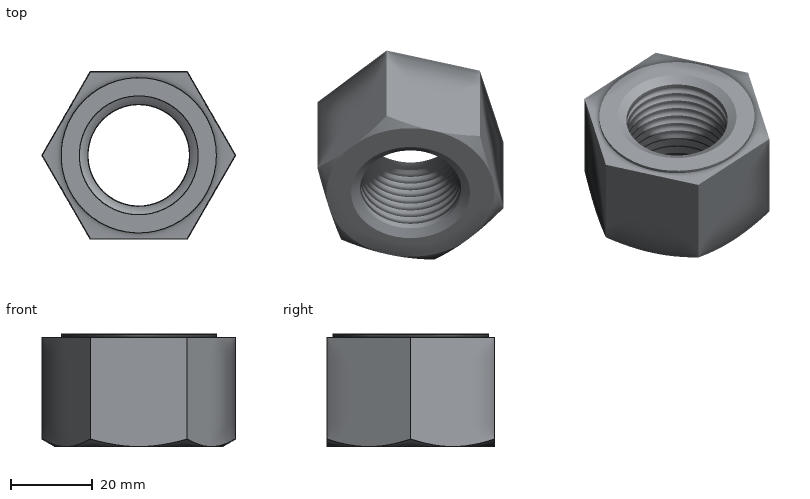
import cadquery as cq
import math

across_corners = 47.35
across_flats = across_corners * math.cos(math.radians(30))
total_height = 27.5
washer_height = 0.8
washer_diameter = 37.95
hex_height = total_height - washer_height

chamfer_slope = math.tan(math.radians(30))

bore_radius = 12.4
countersink_radius = 14.55
countersink_depth = (countersink_radius - bore_radius) * chamfer_slope
thread_pitch = 2.55
crest_width = 0.45
groove_width = thread_pitch - crest_width
groove_depth = 1.1
groove_count = 9
first_crest_width = 0.85
first_groove_top = total_height - countersink_depth - first_crest_width


def revolve_profile(points):
    """Revolve a closed (radius, height) outline about the Z axis."""
    profile = cq.Workplane("XZ").polyline(points).close()
    return profile.revolve(360, (0, 0, 0), (0, 1, 0))


def make_body():
    """Hexagon with its bottom corners turned to a cone, topped by a round washer face."""
    hexagon = cq.Workplane("XY").polygon(6, across_corners).extrude(hex_height)
    outer_radius = across_corners
    cone_top = (outer_radius - across_flats / 2) * chamfer_slope
    envelope = revolve_profile([
        (0, 0),
        (across_flats / 2, 0),
        (outer_radius, cone_top),
        (outer_radius, total_height),
        (0, total_height),
    ])
    washer = (
        cq.Workplane("XY")
        .workplane(offset=hex_height)
        .circle(washer_diameter / 2)
        .extrude(washer_height)
    )
    return hexagon.intersect(envelope).union(washer)


def make_threaded_bore():
    """Through bore with countersunk ends and V-shaped thread grooves."""
    points = [
        (0, total_height),
        (countersink_radius, total_height),
        (bore_radius, total_height - countersink_depth),
    ]
    for index in range(groove_count):
        groove_top = first_groove_top - index * thread_pitch
        points += [
            (bore_radius, groove_top),
            (bore_radius + groove_depth, groove_top - groove_width / 2),
            (bore_radius, groove_top - groove_width),
        ]
    points += [
        (bore_radius, countersink_depth),
        (countersink_radius, 0),
        (0, 0),
    ]
    return revolve_profile(points)


result = make_body().cut(make_threaded_bore())